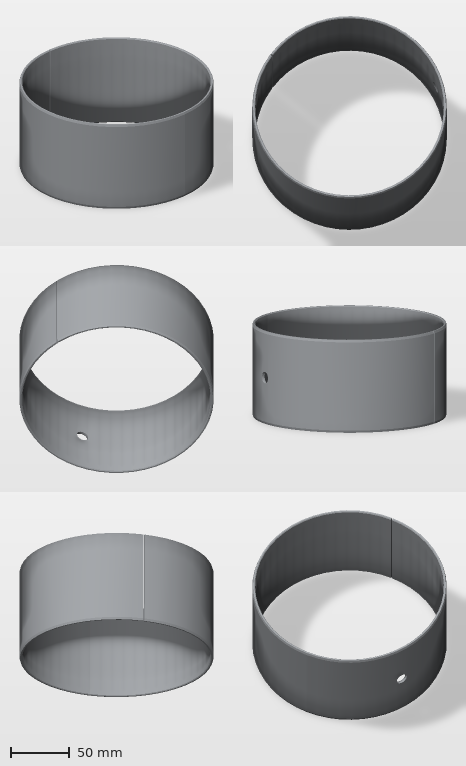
import cadquery as cq

outer_diameter = 165.0
height = 80.0
wall = 2.5
outer_radius = outer_diameter / 2
inner_radius = outer_radius - wall

bevel_width = 0.7
bevel_height = 2.0
inner_chamfer = 0.7

slit_width = 1.0

hole_diameter = 10.0
hole_angle = 59.0


def beveled_ring():
    """Revolve the wall section about Z, with the base at Z = 0."""
    rim_outer_radius = outer_radius - bevel_width
    rim_inner_radius = inner_radius + inner_chamfer
    return (
        cq.Workplane("XZ")
        .moveTo(rim_inner_radius, 0)
        .lineTo(rim_outer_radius, 0)
        .lineTo(outer_radius, bevel_height)
        .lineTo(outer_radius, height - bevel_height)
        .lineTo(rim_outer_radius, height)
        .lineTo(rim_inner_radius, height)
        .lineTo(inner_radius, height - inner_chamfer)
        .lineTo(inner_radius, inner_chamfer)
        .close()
        .revolve(360, (0, 0, 0), (0, 1, 0))
    )


def slit_cutter():
    """Full-height blade reaching from the axis out past the -X wall."""
    return (
        cq.Workplane("XY")
        .box(outer_diameter, slit_width, height, centered=(True, True, False))
        .translate((-outer_radius, 0, 0))
    )


def hole_cutter():
    """Cylinder from the axis out through the wall on one side only."""
    return (
        cq.Workplane("YZ")
        .center(0, height / 2)
        .circle(hole_diameter / 2)
        .extrude(outer_diameter)
        .rotate((0, 0, 0), (0, 0, 1), hole_angle)
    )


result = beveled_ring().cut(slit_cutter()).cut(hole_cutter())